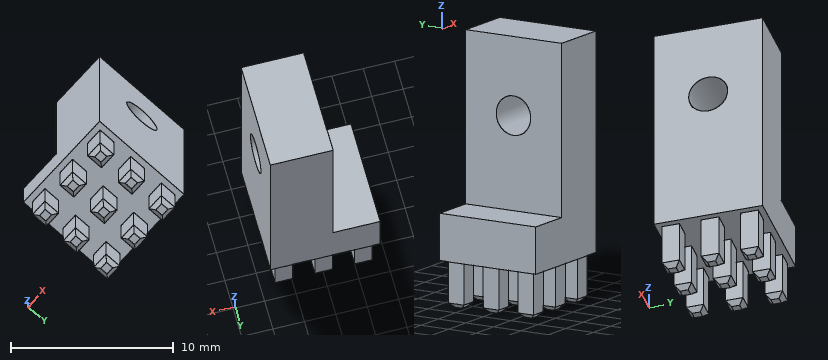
import cadquery as cq

total_height = 17.0
body_width = 7.0
pin_length = 3.01
base_height = 3.0
wall_thickness = 4.0
hole_diameter = 2.5
hole_below_top = 5.0
pin_width = 1.14
pin_pitch = 2.53
pins_per_side = 3
tip_inset = 0.3
tip_height = 0.3

half_width = body_width / 2
base_top = pin_length + base_height
wall_face = half_width - wall_thickness


def make_body():
    """L-shaped block: low base with an upright wall on its +X side."""
    profile = (
        cq.Workplane("XZ", origin=(0, half_width, 0))
        .moveTo(-half_width, pin_length)
        .lineTo(half_width, pin_length)
        .lineTo(half_width, total_height)
        .lineTo(wall_face, total_height)
        .lineTo(wall_face, base_top)
        .lineTo(-half_width, base_top)
        .close()
    )
    return profile.extrude(body_width)


def make_wall_hole():
    """Cylinder that passes through the upright wall along X."""
    return (
        cq.Workplane("YZ", origin=(wall_face, 0, total_height - hole_below_top))
        .circle(hole_diameter / 2)
        .extrude(wall_thickness)
    )


def make_pins():
    """Square grid of square pins with tapered lower tips."""
    return (
        cq.Workplane("XY")
        .rarray(pin_pitch, pin_pitch, pins_per_side, pins_per_side)
        .rect(pin_width, pin_width)
        .extrude(pin_length)
        .faces("<Z")
        .chamfer(tip_height, tip_inset)
    )


result = make_body().cut(make_wall_hole()).union(make_pins())